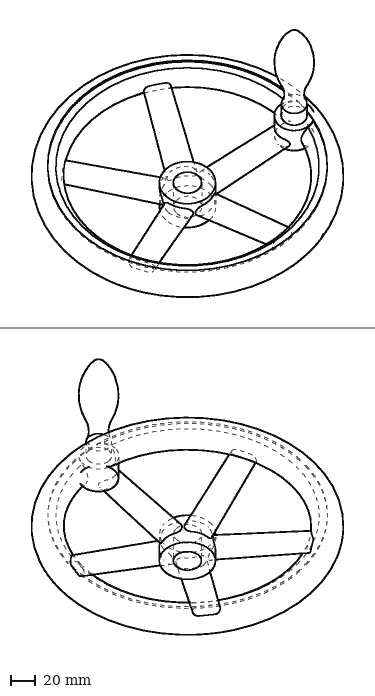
import cadquery as cq
import math

rim_outer_radius = 125.0
rim_section_radius = 13.0
rim_centre_radius = rim_outer_radius - rim_section_radius
rim_centre_height = 37.0
rim_step_depth = 1.8
rim_step_height = rim_centre_height + rim_section_radius - rim_step_depth

hub_radius = 22.5
hub_height = 29.0
bore_radius = 11.2

spoke_count = 5
first_spoke_angle = 90.0
spoke_flat_width = 13.2
spoke_root_radius = 17.5
spoke_tip_radius = 105.0
spoke_root_height = 16.5
spoke_tip_height = 35.5
spoke_root_thickness = 11.8
spoke_tip_thickness = 9.2

handle_offset = 101.0
boss_radius = 16.0
boss_bottom = 24.8
boss_top = 49.2
collar_radius = 10.2
collar_top = 63.5
neck_radius = 8.0
neck_height = 75.0
grip_start_radius = 11.8
grip_start_height = 92.0
grip_radius = 16.0
grip_widest_height = 116.2
tip_radius = 4.8
tip_start_height = 148.0
handle_top = 150.0


def upright_cylinder(radius, bottom, top, y=0.0):
    return cq.Workplane("XY", origin=(0, y, bottom)).circle(radius).extrude(top - bottom)


def make_rim():
    ring = cq.Workplane("XY").add(cq.Solid.makeTorus(rim_centre_radius, rim_section_radius))
    ring = ring.translate((0, 0, rim_centre_height))
    step = upright_cylinder(rim_centre_radius, rim_step_height, rim_step_height + 2 * rim_step_depth)
    return ring.cut(step)


def make_spoke(angle):
    spoke = (
        cq.Workplane("YZ", origin=(spoke_root_radius, 0, spoke_root_height))
        .slot2D(spoke_flat_width + spoke_root_thickness, spoke_root_thickness)
        .workplane(offset=spoke_tip_radius - spoke_root_radius)
        .center(0, spoke_tip_height - spoke_root_height)
        .slot2D(spoke_flat_width + spoke_tip_thickness, spoke_tip_thickness)
        .loft(ruled=True)
    )
    return spoke.rotate((0, 0, 0), (0, 0, 1), angle)


def neck_mid_point(end_radius, end_height):
    """Middle of the arc that leaves the neck vertically and reaches the given end."""
    rise = end_height - neck_height
    flare = end_radius - neck_radius
    arc_radius = (rise**2 + flare**2) / (2 * flare)
    mid_angle = math.asin(rise / arc_radius) / 2
    mid_radius = neck_radius + arc_radius * (1 - math.cos(mid_angle))
    return mid_radius, neck_height + arc_radius * math.sin(mid_angle)


def make_handle():
    tip_rise = handle_top - tip_start_height
    tip_arc_radius = (tip_radius**2 + tip_rise**2) / (2 * tip_rise)
    tip_mid_angle = math.asin(tip_radius / tip_arc_radius) / 2
    tip_mid_point = (
        tip_arc_radius * math.sin(tip_mid_angle),
        handle_top - tip_arc_radius * (1 - math.cos(tip_mid_angle)),
    )
    profile = (
        cq.Workplane("XZ")
        .moveTo(0, boss_bottom)
        .lineTo(collar_radius, boss_bottom)
        .lineTo(collar_radius, collar_top)
        .threePointArc(neck_mid_point(collar_radius, collar_top), (neck_radius, neck_height))
        .threePointArc(
            neck_mid_point(grip_start_radius, grip_start_height),
            (grip_start_radius, grip_start_height),
        )
        .threePointArc((grip_radius, grip_widest_height), (tip_radius, tip_start_height))
        .threePointArc(tip_mid_point, (0, handle_top))
        .close()
    )
    return profile.revolve(360, (0, 0, 0), (0, 1, 0)).translate((0, handle_offset, 0))


wheel = make_rim().union(upright_cylinder(hub_radius, 0, hub_height))
for index in range(spoke_count):
    wheel = wheel.union(make_spoke(first_spoke_angle + index * 360 / spoke_count))

wheel = wheel.union(upright_cylinder(boss_radius, boss_bottom, boss_top, handle_offset))
wheel = wheel.union(make_handle())
result = wheel.cut(upright_cylinder(bore_radius, 0, hub_height))